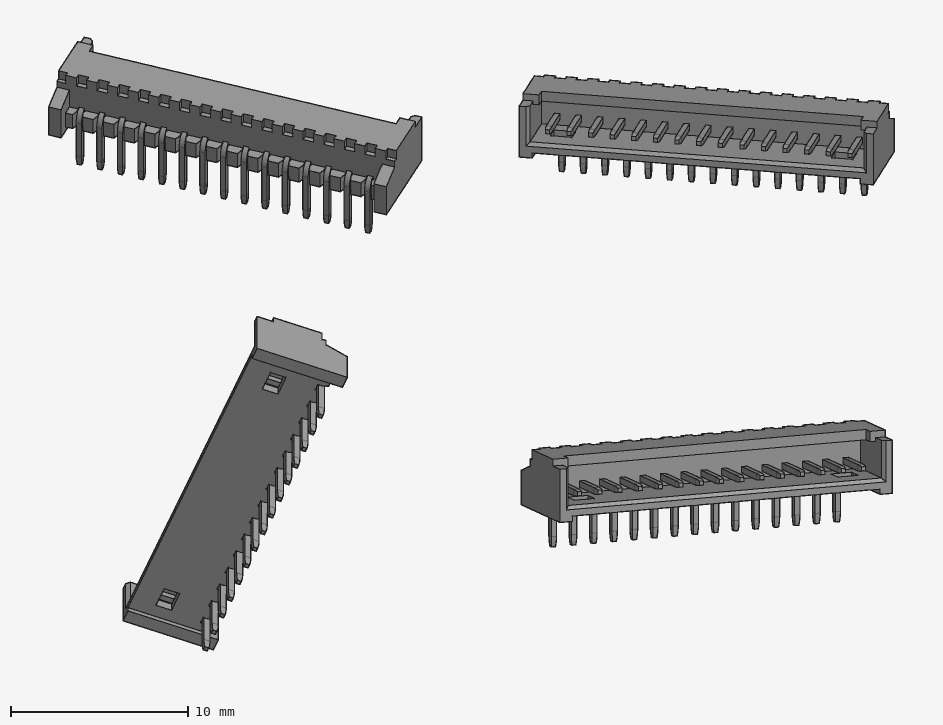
import cadquery as cq
import math

LENGTH = 20.5
HOUSING_DEPTH = 4.2
HOUSING_TOP = 3.46
HOUSING_BOTTOM = 0.3

END_WALL_WIDTH = 0.75
ARM_REACH = 1.3
ARM_ROOT_TOP = 2.48
ARM_TIP_TOP = 1.99
END_WALL_STEP_Y = 3.2
END_WALL_STEP_TOP = 3.08

CAVITY_WALL = 0.6
CAVITY_FLOOR = HOUSING_BOTTOM + CAVITY_WALL
CAVITY_CEILING = HOUSING_TOP - CAVITY_WALL
CAVITY_FRONT_Y = 1.02
MOUTH_CHAMFER = 0.2

CEILING_EDGE_Y = 2.6
CEILING_LIP = 0.95

PIN_COUNT = 15
PITCH = 1.25
PIN_WIDTH = 0.33
PIN_THICKNESS = 0.37
PIN_TIP_SIZE = 0.25
PIN_BOTTOM = -2.34
PIN_TAIL_TAPER_Z = -1.72
PIN_FRONT_Y = -0.43
PIN_CONTACT_END_Y = 3.55
PIN_CONTACT_TAPER_Y = 3.1
BEND_START_Z = 0.64
BEND_OUTER_RADIUS = 0.96
BEND_CENTER_Y = PIN_FRONT_Y + BEND_OUTER_RADIUS

RAIL_REACH = 0.62
RAIL_TOP = 1.3
CHANNEL_WIDTH = 0.39
CHANNEL_MOUTH_WIDTH = 0.62
CHANNEL_FLARE_Y = -0.25

NOTCH_WIDTH = 0.62
NOTCH_DEPTH = 0.3
NOTCH_HEIGHT = 0.57
CORNER_NOTCH_WIDTH = 0.53
CORNER_NOTCH_DEPTH = 0.25

SLOT_FRONT_Y = 1.85
SLOT_BACK_Y = 2.79

PIN_XS = [(i - (PIN_COUNT - 1) / 2) * PITCH for i in range(PIN_COUNT)]


def block(x_min, x_max, y_min, y_max, z_min, z_max):
    """Axis-aligned box given by its limits."""
    size = (x_max - x_min, y_max - y_min, z_max - z_min)
    return cq.Workplane("XY").box(*size, centered=False).translate((x_min, y_min, z_min))


def x_centered_block(width, y_min, y_max, z_min, z_max):
    """Box of the given width, symmetric about X = 0."""
    return block(-width / 2, width / 2, y_min, y_max, z_min, z_max)


def at_pins(shape):
    """Copies of a shape centred on X = 0, one at every pin."""
    copies = [shape.val().translate(cq.Vector(x, 0, 0)) for x in PIN_XS]
    return cq.Workplane(obj=cq.Compound.makeCompound(copies))


def end_wall(x_min):
    profile = [
        (-ARM_REACH, 0),
        (HOUSING_DEPTH, 0),
        (HOUSING_DEPTH, END_WALL_STEP_TOP),
        (END_WALL_STEP_Y, END_WALL_STEP_TOP),
        (END_WALL_STEP_Y, HOUSING_TOP),
        (0, HOUSING_TOP),
        (0, ARM_ROOT_TOP),
        (-ARM_REACH, ARM_TIP_TOP),
    ]
    wall = cq.Workplane("YZ").polyline(profile).close().extrude(END_WALL_WIDTH)
    return wall.translate((x_min, 0, 0))


def shell():
    """Housing with its end walls, before the cavity and the small details."""
    span = LENGTH - 2 * END_WALL_WIDTH
    body = x_centered_block(span, 0, END_WALL_STEP_Y, HOUSING_BOTTOM, HOUSING_TOP)
    back = x_centered_block(span, END_WALL_STEP_Y, HOUSING_DEPTH, HOUSING_BOTTOM, END_WALL_STEP_TOP)
    rail = x_centered_block(span, -RAIL_REACH, 0, HOUSING_BOTTOM, RAIL_TOP)
    body = body.union(back).union(rail)
    return body.union(end_wall(-LENGTH / 2)).union(end_wall(LENGTH / 2 - END_WALL_WIDTH))


def cavity():
    """Mating cavity with a flared mouth, together with the opening above the contacts."""
    width = LENGTH - 2 * CAVITY_WALL
    height = CAVITY_CEILING - CAVITY_FLOOR
    middle_z = (CAVITY_CEILING + CAVITY_FLOOR) / 2
    room = x_centered_block(width, CAVITY_FRONT_Y, HOUSING_DEPTH, CAVITY_FLOOR, CAVITY_CEILING)
    mouth_width = width + 2 * MOUTH_CHAMFER
    mouth_height = height + 2 * MOUTH_CHAMFER
    mouth = (
        cq.Workplane("XZ", origin=(0, HOUSING_DEPTH, middle_z))
        .rect(mouth_width, mouth_height)
        .workplane(offset=MOUTH_CHAMFER)
        .rect(width, height)
        .loft(ruled=True)
    )
    opening_profile = [
        (-width / 2, END_WALL_STEP_Y),
        (width / 2, END_WALL_STEP_Y),
        (width / 2, HOUSING_DEPTH - MOUTH_CHAMFER),
        (mouth_width / 2, HOUSING_DEPTH),
        (-mouth_width / 2, HOUSING_DEPTH),
        (-width / 2, HOUSING_DEPTH - MOUTH_CHAMFER),
    ]
    opening = (
        cq.Workplane("XY", origin=(0, 0, middle_z))
        .polyline(opening_profile)
        .close()
        .extrude(HOUSING_TOP - middle_z)
    )
    cutback_width = LENGTH - 2 * CEILING_LIP
    cutback = x_centered_block(cutback_width, CEILING_EDGE_Y, END_WALL_STEP_Y, middle_z, HOUSING_TOP)
    return room.union(mouth).union(opening).union(cutback)


def floor_slot(x_first, x_second):
    return block(x_first, x_second, SLOT_FRONT_Y, SLOT_BACK_Y, HOUSING_BOTTOM, CAVITY_FLOOR)


def top_notches():
    return at_pins(x_centered_block(NOTCH_WIDTH, 0, NOTCH_DEPTH, HOUSING_TOP - NOTCH_HEIGHT, HOUSING_TOP))


def corner_notch(x_min):
    x_max = x_min + CORNER_NOTCH_WIDTH
    return block(x_min, x_max, 0, CORNER_NOTCH_DEPTH, HOUSING_TOP - NOTCH_HEIGHT, HOUSING_TOP)


def rail_channels():
    """Straight channels that flare out towards the front of the rail."""
    half_width = CHANNEL_WIDTH / 2
    half_mouth = CHANNEL_MOUTH_WIDTH / 2
    profile = [
        (-half_width, 0),
        (-half_width, CHANNEL_FLARE_Y),
        (-half_mouth, -RAIL_REACH),
        (half_mouth, -RAIL_REACH),
        (half_width, CHANNEL_FLARE_Y),
        (half_width, 0),
    ]
    channel = (
        cq.Workplane("XY", origin=(0, 0, HOUSING_BOTTOM))
        .polyline(profile)
        .close()
        .extrude(RAIL_TOP - HOUSING_BOTTOM)
    )
    return at_pins(channel)


def curved_slab(plane, base_size, length):
    """Slab along +Z whose two sides curve in tangentially from the base size to the tip size."""
    half_base = base_size / 2
    half_tip = PIN_TIP_SIZE / 2
    inset = half_base - half_tip
    side_radius = (length**2 + inset**2) / (2 * inset)
    middle_z = length / 2
    half_middle = half_base - side_radius + math.sqrt(side_radius**2 - middle_z**2)
    return (
        cq.Workplane(plane)
        .moveTo(-half_base, 0)
        .lineTo(half_base, 0)
        .threePointArc((half_middle, middle_z), (half_tip, length))
        .lineTo(-half_tip, length)
        .threePointArc((-half_middle, middle_z), (-half_base, 0))
        .close()
        .extrude(PIN_THICKNESS, both=True)
    )


def pin_point(length):
    """Pin end along +Z from the origin, with four curved sides and a small flat tip."""
    across_width = curved_slab("XZ", PIN_WIDTH, length)
    across_thickness = curved_slab("YZ", PIN_THICKNESS, length)
    return across_width.intersect(across_thickness)


def pin():
    """Right-angle pin with a narrowed point at both ends."""
    half_thickness = PIN_THICKNESS / 2
    tail_back_y = PIN_FRONT_Y + PIN_THICKNESS
    contact_top = BEND_START_Z + BEND_OUTER_RADIUS
    contact_bottom = contact_top - PIN_THICKNESS
    tail = x_centered_block(PIN_WIDTH, PIN_FRONT_Y, tail_back_y, PIN_TAIL_TAPER_Z, BEND_START_Z)
    tail_point = (
        pin_point(PIN_TAIL_TAPER_Z - PIN_BOTTOM)
        .rotate((0, 0, 0), (1, 0, 0), 180)
        .translate((0, PIN_FRONT_Y + half_thickness, PIN_TAIL_TAPER_Z))
    )
    bend_quadrant = x_centered_block(PIN_WIDTH, PIN_FRONT_Y, BEND_CENTER_Y, BEND_START_Z, contact_top)
    bend = (
        cq.Workplane("YZ", origin=(-PIN_WIDTH / 2, BEND_CENTER_Y, BEND_START_Z))
        .circle(BEND_OUTER_RADIUS)
        .circle(BEND_OUTER_RADIUS - PIN_THICKNESS)
        .extrude(PIN_WIDTH)
        .intersect(bend_quadrant)
    )
    contact = x_centered_block(
        PIN_WIDTH, BEND_CENTER_Y, PIN_CONTACT_TAPER_Y, contact_bottom, contact_top
    )
    contact_point = (
        pin_point(PIN_CONTACT_END_Y - PIN_CONTACT_TAPER_Y)
        .rotate((0, 0, 0), (1, 0, 0), -90)
        .translate((0, PIN_CONTACT_TAPER_Y, contact_top - half_thickness))
    )
    return tail.union(tail_point).union(bend).union(contact).union(contact_point)


housing = shell().cut(cavity())
housing = housing.cut(floor_slot(PIN_XS[0], PIN_XS[1]))
housing = housing.cut(floor_slot(PIN_XS[-2], PIN_XS[-1]))
housing = housing.cut(top_notches())
housing = housing.cut(corner_notch(-LENGTH / 2))
housing = housing.cut(corner_notch(LENGTH / 2 - CORNER_NOTCH_WIDTH))
housing = housing.cut(rail_channels())

result = housing.union(at_pins(pin()))